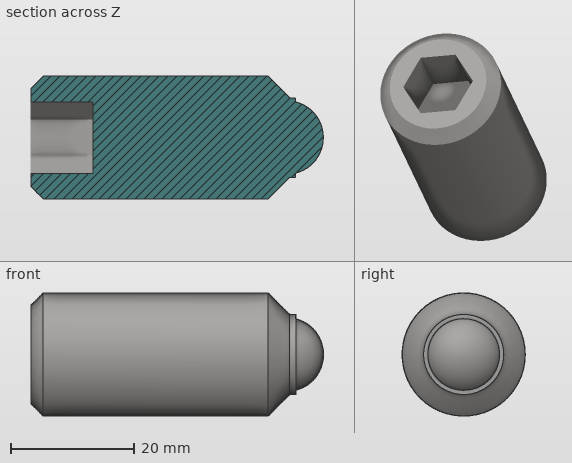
import cadquery as cq
import math


body_radius = 10.0
rear_chamfer = 2.0
body_length = 43.0

collar_radius = 6.5
collar_length = 1.0
collar_start = body_length - collar_length
cone_start = collar_start - (body_radius - collar_radius)

ball_radius = 6.0
overall_length = 47.5
ball_center = overall_length - ball_radius
ball_rim_radius = math.sqrt(ball_radius**2 - (body_length - ball_center) ** 2)
arc_mid_angle = math.atan2(ball_rim_radius, body_length - ball_center) / 2

socket_across_flats = 10.0
socket_across_corners = socket_across_flats / math.cos(math.radians(30))
socket_depth = 10.0


def make_plunger():
    """Revolve the half profile of body, nose, collar and exposed ball about X."""
    arc_mid = (
        ball_center + ball_radius * math.cos(arc_mid_angle),
        ball_radius * math.sin(arc_mid_angle),
    )
    profile = (
        cq.Workplane("XY")
        .moveTo(0, 0)
        .lineTo(0, body_radius - rear_chamfer)
        .lineTo(rear_chamfer, body_radius)
        .lineTo(cone_start, body_radius)
        .lineTo(collar_start, collar_radius)
        .lineTo(body_length, collar_radius)
        .lineTo(body_length, ball_rim_radius)
        .threePointArc(arc_mid, (overall_length, 0))
        .close()
    )
    return profile.revolve(360, (0, 0, 0), (1, 0, 0))


def make_socket():
    """Flat-bottomed hex prism that starts at the rear face."""
    return cq.Workplane("YZ").polygon(6, socket_across_corners).extrude(socket_depth)


result = make_plunger().cut(make_socket())